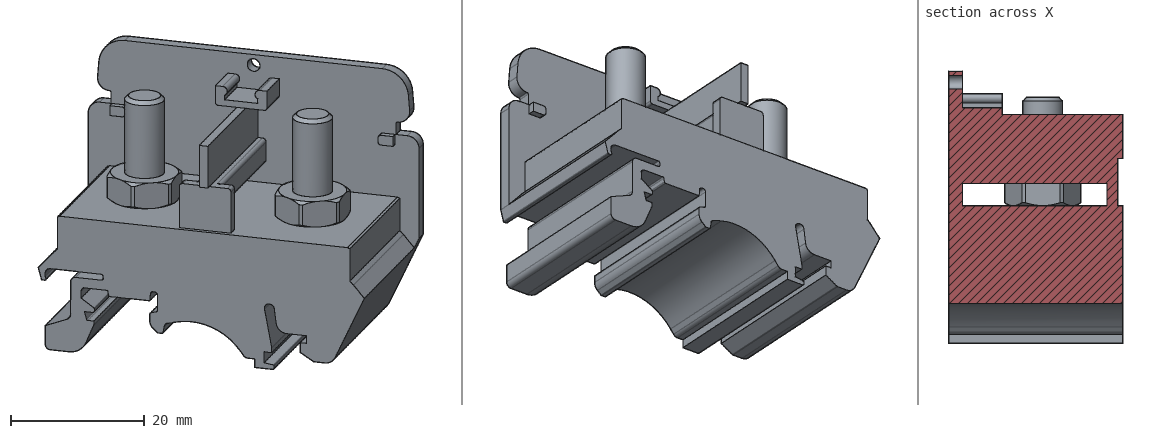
import cadquery as cq
import math

length = 52.0
depth = 26.0
height = 41.4
half_length = length / 2

deck_z = 21.3
deck_half = 23.0
deck_bevel_run = 0.35
deck_bevel_drop = 0.15
shoulder_z = 16.05
shoulder_step = 0.55
wing_left_z = 12.85
right_slant_top_z = 15.15
slant_foot_x = 20.2
slant_foot_z = 2.65
slant_run = (half_length - slant_foot_x) / (right_slant_top_z - slant_foot_z)
wing_right_z = 13.55
wing_right_x = half_length - slant_run * (right_slant_top_z - wing_right_z)

plate_thickness = 2.1
plate_front_y = depth - plate_thickness
ear_half = 24.7
top_half = 24.0
crown_radius = 4.1
ear_z = 33.2
ear_radius = 1.85
neck_half = 22.4
neck_z = 31.2
neck_radius = 0.2
side_radius = 1.8
hole_diameter = 2.0
hole_z = 39.75

stop_inner = 19.9
stop_outer = 22.25
stop_height = 1.55
stop_depth = 1.05
stop_radius = 0.4

stud_x = 13.2
stud_y = 11.95
stud_diameter = 6.0
stud_top_z = 37.5
stud_chamfer = 0.55
nut_flats = 10.15
nut_height = 4.05
nut_turned_diameter = 11.4
nut_face_diameter = 10.2
nut_chamfer_height = 0.4

cradle_half = 4.05
cradle_depth = 5.95
cradle_bottom_z = 34.95
cradle_top_z = 38.0
cradle_floor_z = 35.95
cradle_groove_half = 2.6
cradle_mouth_half = 2.9
cradle_lip_radius = 0.75
cradle_radius = 0.4
fin_half = 0.7
fin_bottom_z = 28.35
beam_half = 2.0
beam_bottom_z = 24.6
beam_top_radius = 0.55
beam_bottom_radius = 0.3
flange_back_y = 2.4
flange_front_y = 0.75
flange_radius = 0.5


def rounded_outline(corners):
    """Closed outline in the XZ plane from (x, z, corner radius) entries; radius 0 keeps a sharp corner."""
    path = cq.Workplane("XZ")
    started = False
    count = len(corners)
    for i, (x, z, radius) in enumerate(corners):
        corner = cq.Vector(x, z)
        points = [corner]
        if radius > 0:
            before = cq.Vector(*corners[i - 1][:2])
            after = cq.Vector(*corners[(i + 1) % count][:2])
            to_before = (before - corner).normalized()
            to_after = (after - corner).normalized()
            half_angle = to_before.getAngle(to_after) / 2
            setback = radius / math.tan(half_angle)
            bisector = (to_before + to_after).normalized()
            middle = corner + bisector * (radius / math.sin(half_angle) - radius)
            points = [corner + to_before * setback, middle, corner + to_after * setback]
        start = points[0].toTuple()[:2]
        path = path.lineTo(*start) if started else path.moveTo(*start)
        started = True
        if radius > 0:
            path = path.threePointArc(points[1].toTuple()[:2], points[2].toTuple()[:2])
    return path.close()


def extrude_y(outline, front_y, back_y):
    """Extrude an XZ outline so that it fills front_y to back_y."""
    return outline.extrude(front_y - back_y).translate((0, front_y, 0))


def box(x_min, x_max, y_min, y_max, z_min, z_max):
    size = (x_max - x_min, y_max - y_min, z_max - z_min)
    return cq.Workplane("XY").box(*size, centered=False).translate((x_min, y_min, z_min))


left_lip = [
    (-25.5, 10.9, 0.15),
    (-24.7, 10.9, 0.2),
    (-24.9, 11.6, 0.25),
    (-24.9, wing_left_z, 0.85),
]
release_slot = [
    (-15.8, wing_left_z, 0.3),
    (-15.8, 11.9, 0.3),
]
left_hook = [
    (-20.9, 11.9, 0.8),
    (-20.9, 5.35, 1.05),
    (-24.9, 3.75, 0),
    (-24.9, 0, 0.85),
    (-19.25, 0, 2.85),
    (-17.25, 4.7, 0.2),
    (-17.25, 5.3, 0),
    (-18.35, 5.3, 0.2),
    (-18.7, 6.65, 0),
    (-17.15, 6.65, 0.25),
    (-17.15, 7.35, 0.1),
    (-19.25, 8.75, 0),
    (-19.25, 10.4, 0.55),
]
rail_seat = [
    (-15.1, 10.4, 0.2),
    (-14.9, 9.45, 0.2),
    (-8.5, 9.45, 0),
    (-8.3, 10.95, 0.45),
    (-7.3, 10.95, 0.45),
    (-7.3, 7.9, 0.25),
    (-8.5, 7.55, 0.25),
    (-8.5, 5.6, 1.55),
    (-7.25, 4.5, 0.15),
    (-6.4, 4.5, 0.15),
    (-6.15, 6.1, 0.75),
]
arch = [
    (1.8, 8.15, 9.6),
    (6.55, 2.1, 0.95),
]
spring_leg = [
    (8.0, 2.1, 0),
    (8.0, 0.75, 0),
    (11.1, 0.75, 0.2),
    (11.1, 1.45, 0.1),
    (9.5, 1.65, 0),
    (9.5, 3.4, 0),
    (10.7, 3.4, 0),
    (10.7, 4.15, 0),
    (9.4, 11.0, 0.75),
    (11.0, 11.0, 0.75),
    (11.6, 6.65, 1.65),
]
right_foot = [
    (16.15, 6.65, 0),
    (16.15, 5.45, 0),
    (15.2, 5.45, 0),
    (15.2, 3.9, 0),
    (17.3, slant_foot_z, 0.25),
    (slant_foot_x, slant_foot_z, 1.75),
]
underside = left_lip + release_slot + left_hook + rail_seat + arch + spring_leg + right_foot

body_upper = [
    (wing_right_x, wing_right_z, 0),
    (deck_half + shoulder_step, shoulder_z - shoulder_step, 0),
    (deck_half, shoulder_z, 0),
    (deck_half, deck_z - deck_bevel_drop, 0),
    (deck_half - deck_bevel_run, deck_z, 0),
    (-deck_half + deck_bevel_run, deck_z, 0),
    (-deck_half, deck_z - deck_bevel_drop, 0),
    (-deck_half, shoulder_z, 0),
    (-deck_half - shoulder_step, shoulder_z - shoulder_step, 0),
    (-half_length, wing_left_z, 0),
]

plate_half = [
    (half_length, neck_z, side_radius),
    (neck_half, neck_z, 0),
    (neck_half, ear_z, neck_radius),
    (ear_half, ear_z, ear_radius),
    (top_half, height, crown_radius),
]
plate_upper = (
    [(half_length, right_slant_top_z, 0)]
    + plate_half
    + [(-x, z, radius) for x, z, radius in reversed(plate_half)]
    + [(-half_length, wing_left_z, 0)]
)

body = extrude_y(rounded_outline(underside + body_upper), 0, depth)
plate = extrude_y(rounded_outline(underside + plate_upper), plate_front_y, depth)
hole = extrude_y(cq.Workplane("XZ").center(0, hole_z).circle(hole_diameter / 2), plate_front_y, depth)
plate = plate.cut(hole)


def neck_stop(side):
    x_min, x_max = sorted((side * stop_inner, side * stop_outer))
    stop = box(x_min, x_max, plate_front_y - stop_depth, plate_front_y, neck_z - stop_height, neck_z)
    inner_edges = "|Y and <X" if side > 0 else "|Y and >X"
    return stop.edges(inner_edges).fillet(stop_radius)


def stud_with_nut(x):
    stud = (
        cq.Workplane("XY", origin=(x, stud_y, deck_z))
        .circle(stud_diameter / 2)
        .extrude(stud_top_z - deck_z)
        .faces(">Z")
        .chamfer(stud_chamfer)
    )
    nut = (
        cq.Workplane("XY", origin=(x, stud_y, deck_z))
        .transformed(rotate=(0, 0, 90))
        .polygon(6, nut_flats / math.cos(math.pi / 6))
        .extrude(nut_height)
    )
    turned = (
        cq.Workplane("XY", origin=(x, stud_y, deck_z))
        .circle(nut_turned_diameter / 2)
        .extrude(nut_height)
        .faces("<Z or >Z")
        .chamfer(nut_chamfer_height, (nut_turned_diameter - nut_face_diameter) / 2)
    )
    return stud.union(nut.intersect(turned))


def cradle():
    """Channel with two rounded lips, standing out from the plate."""
    lip_center_z = cradle_top_z - cradle_lip_radius
    lip_half = cradle_mouth_half - cradle_lip_radius
    undercut = cradle_mouth_half - cradle_groove_half
    lip_bottom_z = lip_center_z - math.sqrt(cradle_lip_radius**2 - undercut**2)
    block = box(-cradle_half, cradle_half, plate_front_y - cradle_depth, plate_front_y,
                cradle_bottom_z, cradle_top_z)
    block = block.edges("|Y and <Z").fillet(cradle_radius)
    groove = (
        cq.Workplane("XZ")
        .moveTo(-cradle_groove_half, cradle_floor_z)
        .lineTo(cradle_groove_half, cradle_floor_z)
        .lineTo(cradle_groove_half, lip_bottom_z)
        .threePointArc((lip_half, lip_center_z), (cradle_mouth_half, cradle_top_z))
        .lineTo(-cradle_mouth_half, cradle_top_z)
        .threePointArc((-lip_half, lip_center_z), (-cradle_groove_half, lip_bottom_z))
        .close()
    )
    return block.cut(extrude_y(groove, plate_front_y - cradle_depth, plate_front_y))


fin = box(-fin_half, fin_half, 0, plate_front_y, fin_bottom_z, cradle_bottom_z)
beam = box(-beam_half, beam_half, flange_front_y, plate_front_y, beam_bottom_z, fin_bottom_z)
beam = beam.edges("|Y and >Z").fillet(beam_top_radius)
beam = beam.edges("|Y and <Z").fillet(beam_bottom_radius)
flange = box(-cradle_half, cradle_half, flange_front_y, flange_back_y, deck_z, fin_bottom_z)
flange = flange.edges("|Y and >Z").fillet(flange_radius)

result = body.union(plate).union(cradle()).union(fin).union(beam).union(flange)
for side in (-1, 1):
    result = result.union(neck_stop(side)).union(stud_with_nut(side * stud_x))